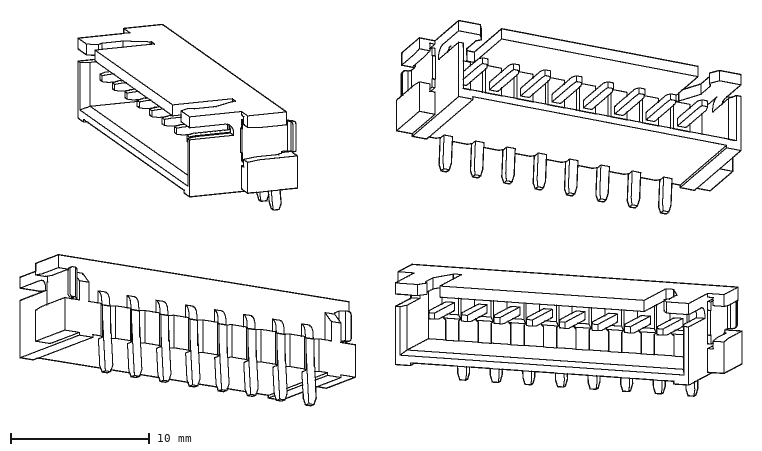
import cadquery as cq
import math


BODY_WIDTH = 22.5
EAR_WIDTH = 25.0
HEIGHT = 6.0
OVERALL_HEIGHT = 8.32
BODY_DEPTH = 7.85
ROOF_DEPTH = 7.0
ROOF_THICKNESS = 0.82
FOOT_HEIGHT = 0.2
FOOT_WIDTH = 1.15
LEDGE_TOP = 2.62

CAVITY_HALF_WIDTH = 10.6
CAVITY_FLOOR = 0.99
CAVITY_DEPTH = 5.2
LEAD_IN_SIDE = 0.28
LEAD_IN_RISE = 0.27
LEAD_IN_DEPTH = 0.7

WINDOW_DEPTH = 3.4
SIDE_WALL_TOP = 4.28
WINDOW_RADIUS = 0.72

SLOT_INNER_X = 7.83
SLOT_DEPTH = 4.6
SLOT_SHOULDER_X = 8.45
SLOT_SHOULDER_Y = 4.5
SLOT_WIDE_X = 9.35
SLOT_WIDE_START = 1.12
SLOT_WIDE_END = 2.75
SLOT_NECK_X = 9.08
SLOT_NECK_Y = 0.75
SLOT_MOUTH_X = 9.53

EAR_FRONT = 4.0
EAR_GAP_BOTTOM = LEDGE_TOP
EAR_GAP_TOP = 5.03
EAR_GAP_FLARE = 0.1
EAR_GAP_FLARE_DEPTH = 0.9

RAMP_WIDTH = 0.83
RAMP_TOP = 4.9
RAMP_BACK_TOP = 4.05

TAB_SLOT_OUTER_X = 11.66
TAB_SLOT_BACK = 6.75
TAB_SLOT_BOTTOM = 1.95
TAB_SLOT_TOP = 5.73
TAB_PLATE_OUTER_X = 11.5
TAB_PLATE_BOTTOM = 2.3
TAB_PLATE_TOP = 5.4
TAB_NOSE_BOTTOM = 2.95
TAB_NOSE_TOP = 4.77
TAB_NOSE_LENGTH = 0.07
TAB_FLANGE_OUTER_X = 12.1
TAB_FLANGE_BOTTOM = 2.78
TAB_FLANGE_TOP = 5.0
TAB_FLANGE_THICKNESS = 0.25
TAB_FLANGE_CORNER = 0.25
TAB_BEND = 0.35
TAB_BEND_INSET = 0.09

CONTACT_COUNT = 8
PITCH = 2.5
PIN_SIZE = 0.68
PIN_HEIGHT = 0.6
PIN_TOP = 3.89
PIN_TIP_Y = 0.83
PIN_TAPER_LENGTH = 0.47
PIN_TIP_SIZE = 0.45
LEG_BOTTOM = HEIGHT - OVERALL_HEIGHT
LEG_BACK = 7.9
LEG_TAPER_LENGTH = 0.5
LEG_LEAN = math.radians(5)
PIN_BEND_RADIUS = 0.9
GROOVE_DEPTH = 0.25
GROOVE_WIDTH = 1.25

SUPPORT_WIDTH = 1.29
SUPPORT_PROJECTION = 0.49
SUPPORT_BOTTOM = 3.0
RIB_WIDTH = 1.0
RIB_PROJECTION = 0.1

HALF_BODY = BODY_WIDTH / 2
HALF_EAR = EAR_WIDTH / 2
ROOF_BOTTOM = HEIGHT - ROOF_THICKNESS
CONTACT_XS = [(i - (CONTACT_COUNT - 1) / 2) * PITCH for i in range(CONTACT_COUNT)]


def box(x0, x1, y0, y1, z0, z1):
    return cq.Workplane("XY").box(x1 - x0, y1 - y0, z1 - z0, centered=False).translate((x0, y0, z0))


def side_profile(points, x0, x1):
    """Outline of (y, z) points spanning x0 to x1."""
    return cq.Workplane("YZ").polyline(points).close().extrude(x1 - x0).translate((x0, 0, 0))


def plan_profile(points, z0, z1):
    """Outline of (x, y) points spanning z0 to z1."""
    return cq.Workplane("XY").polyline(points).close().extrude(z1 - z0).translate((0, 0, z0))


def both_sides(shape):
    """The shape together with its mirror image across the middle of the part."""
    return shape.union(shape.mirror("YZ"))


def make_shell():
    """Solid body: full depth below the back ledge, shorter above it, with a foot at each end."""
    lower = box(-HALF_BODY, HALF_BODY, 0, BODY_DEPTH, FOOT_HEIGHT, LEDGE_TOP)
    upper = box(-HALF_BODY, HALF_BODY, 0, ROOF_DEPTH, LEDGE_TOP, HEIGHT)
    foot = box(HALF_BODY - FOOT_WIDTH, HALF_BODY, 0, BODY_DEPTH, 0, FOOT_HEIGHT)
    return lower.union(upper).union(both_sides(foot))


def make_ears():
    """Ears split by a flared gap, each pair with a blind slot that holds a solder tab."""
    ear = box(HALF_BODY, HALF_EAR, EAR_FRONT, BODY_DEPTH, FOOT_HEIGHT, EAR_GAP_BOTTOM)
    ear = ear.union(box(HALF_BODY, HALF_EAR, EAR_FRONT, ROOF_DEPTH, EAR_GAP_TOP, HEIGHT))
    flare_end = EAR_FRONT + EAR_GAP_FLARE_DEPTH
    flare = side_profile(
        [
            (EAR_FRONT, EAR_GAP_BOTTOM - EAR_GAP_FLARE),
            (flare_end, EAR_GAP_BOTTOM),
            (flare_end, EAR_GAP_TOP),
            (EAR_FRONT, EAR_GAP_TOP + EAR_GAP_FLARE),
        ],
        HALF_BODY,
        HALF_EAR,
    )
    slot = box(HALF_BODY, TAB_SLOT_OUTER_X, EAR_FRONT, TAB_SLOT_BACK, TAB_SLOT_BOTTOM, TAB_SLOT_TOP)
    return both_sides(ear.cut(flare).cut(slot))


def make_ramps():
    """Blocks with a sloped top standing on the back ledge at both ends."""
    ramp = side_profile(
        [
            (ROOF_DEPTH, LEDGE_TOP),
            (BODY_DEPTH, LEDGE_TOP),
            (BODY_DEPTH, RAMP_BACK_TOP),
            (ROOF_DEPTH, RAMP_TOP),
        ],
        HALF_BODY - RAMP_WIDTH,
        HALF_BODY,
    )
    return both_sides(ramp)


def make_cavity():
    """Opening for the mating plug, widening at the mouth on the floor and both sides."""
    cavity = box(-CAVITY_HALF_WIDTH, CAVITY_HALF_WIDTH, 0, CAVITY_DEPTH, CAVITY_FLOOR, ROOF_BOTTOM)
    mouth_half = CAVITY_HALF_WIDTH + LEAD_IN_SIDE
    mouth_bottom = CAVITY_FLOOR - LEAD_IN_RISE

    def opening(half_width, bottom):
        return [
            (-half_width, bottom),
            (half_width, bottom),
            (half_width, ROOF_BOTTOM),
            (-half_width, ROOF_BOTTOM),
        ]

    lead_in = (
        cq.Workplane("XZ")
        .polyline(opening(mouth_half, mouth_bottom))
        .close()
        .workplane(offset=-LEAD_IN_DEPTH)
        .polyline(opening(CAVITY_HALF_WIDTH, CAVITY_FLOOR))
        .close()
        .loft(ruled=True)
    )
    return cavity.union(lead_in)


def make_side_windows():
    """Gaps between the roof and the side walls, open at the front."""
    window = box(CAVITY_HALF_WIDTH, HALF_BODY, 0, WINDOW_DEPTH, SIDE_WALL_TOP, ROOF_BOTTOM)
    window = window.edges("|X and >Y and >Z").fillet(WINDOW_RADIUS)
    return both_sides(window)


def make_roof_slots():
    """Keying slots in the roof, with a narrow neck just behind the mouth."""
    slot = plan_profile(
        [
            (SLOT_INNER_X, 0),
            (SLOT_MOUTH_X, 0),
            (SLOT_NECK_X, SLOT_NECK_Y),
            (SLOT_WIDE_X, SLOT_WIDE_START),
            (SLOT_WIDE_X, SLOT_WIDE_END),
            (SLOT_SHOULDER_X, SLOT_SHOULDER_Y),
            (SLOT_SHOULDER_X, SLOT_DEPTH),
            (SLOT_INNER_X, SLOT_DEPTH),
        ],
        ROOF_BOTTOM,
        HEIGHT,
    )
    return both_sides(slot)


def make_leg_groove(x):
    """Groove down the back with sloped sides, around one contact leg."""
    return plan_profile(
        [
            (x - GROOVE_WIDTH / 2, BODY_DEPTH),
            (x - PIN_SIZE / 2, BODY_DEPTH - GROOVE_DEPTH),
            (x + PIN_SIZE / 2, BODY_DEPTH - GROOVE_DEPTH),
            (x + GROOVE_WIDTH / 2, BODY_DEPTH),
        ],
        0,
        LEDGE_TOP,
    )


def make_support(x):
    """Block around the pin, with a sloped underside running down onto a narrower rib below it."""
    front = CAVITY_DEPTH - SUPPORT_PROJECTION
    rib_front = CAVITY_DEPTH - RIB_PROJECTION
    slope_end = SUPPORT_BOTTOM - (rib_front - front)
    support = side_profile(
        [
            (CAVITY_DEPTH, slope_end),
            (rib_front, slope_end),
            (front, SUPPORT_BOTTOM),
            (front, ROOF_BOTTOM),
            (CAVITY_DEPTH, ROOF_BOTTOM),
        ],
        x - SUPPORT_WIDTH / 2,
        x + SUPPORT_WIDTH / 2,
    )
    half_support = SUPPORT_WIDTH / 2
    half_rib = RIB_WIDTH / 2
    neck = slope_end - (half_support - half_rib)
    rib = (
        cq.Workplane("XZ", origin=(x, CAVITY_DEPTH, 0))
        .moveTo(-half_support, slope_end)
        .lineTo(-half_rib, neck)
        .lineTo(-half_rib, CAVITY_FLOOR)
        .lineTo(half_rib, CAVITY_FLOOR)
        .lineTo(half_rib, neck)
        .lineTo(half_support, slope_end)
        .close()
        .extrude(RIB_PROJECTION)
    )
    return support.union(rib)


def make_contact(x):
    """Bent contact: a mating pin along Y and a leaning leg down to the board, both with tapered tips."""
    taper_top = LEG_BOTTOM + LEG_TAPER_LENGTH
    bar_bottom = PIN_TOP - PIN_HEIGHT
    taper_start = PIN_TIP_Y + PIN_TAPER_LENGTH

    def leg_back(z):
        return LEG_BACK - (z - taper_top) * math.tan(LEG_LEAN)

    bar_and_leg = side_profile(
        [
            (taper_start, bar_bottom),
            (leg_back(bar_bottom) - PIN_SIZE, bar_bottom),
            (LEG_BACK - PIN_SIZE, taper_top),
            (LEG_BACK, taper_top),
            (leg_back(PIN_TOP), PIN_TOP),
            (taper_start, PIN_TOP),
        ],
        x - PIN_SIZE / 2,
        x + PIN_SIZE / 2,
    )
    bar_and_leg = bar_and_leg.edges("|X").edges(">Z").edges(">Y").fillet(PIN_BEND_RADIUS)
    mating_tip = (
        cq.Workplane("XZ", origin=(x, taper_start, PIN_TOP - PIN_HEIGHT / 2))
        .rect(PIN_SIZE, PIN_HEIGHT)
        .workplane(offset=PIN_TAPER_LENGTH)
        .rect(PIN_TIP_SIZE, PIN_TIP_SIZE)
        .loft(ruled=True)
    )
    leg_tip = (
        cq.Workplane("XY", origin=(x, LEG_BACK - PIN_SIZE / 2, taper_top))
        .rect(PIN_SIZE, PIN_SIZE)
        .workplane(offset=-LEG_TAPER_LENGTH)
        .rect(PIN_TIP_SIZE, PIN_TIP_SIZE)
        .loft(ruled=True)
    )
    return bar_and_leg.union(mating_tip).union(leg_tip)


def make_solder_tabs():
    """Metal plates lying against the body sides, with a flange bent outward at the back."""
    plate_end = LEG_BACK - TAB_BEND
    plate = box(HALF_BODY, TAB_PLATE_OUTER_X, EAR_FRONT, ROOF_DEPTH, TAB_PLATE_BOTTOM, TAB_PLATE_TOP)
    nose = box(
        HALF_BODY,
        TAB_PLATE_OUTER_X,
        EAR_FRONT - TAB_NOSE_LENGTH,
        EAR_FRONT,
        TAB_NOSE_BOTTOM,
        TAB_NOSE_TOP,
    )
    flange_front = LEG_BACK - TAB_FLANGE_THICKNESS
    flange_inner_x = HALF_BODY + TAB_BEND
    flange = plan_profile(
        [
            (HALF_BODY, ROOF_DEPTH),
            (HALF_BODY, plate_end),
            (flange_inner_x, LEG_BACK),
            (TAB_FLANGE_OUTER_X, LEG_BACK),
            (TAB_FLANGE_OUTER_X, flange_front),
            (flange_inner_x + TAB_BEND_INSET, flange_front),
            (TAB_PLATE_OUTER_X, plate_end - TAB_BEND_INSET),
            (TAB_PLATE_OUTER_X, ROOF_DEPTH),
        ],
        TAB_FLANGE_BOTTOM,
        TAB_FLANGE_TOP,
    )
    flange = flange.edges("|Y and >X").fillet(TAB_FLANGE_CORNER)
    return both_sides(plate.union(nose).union(flange))


housing = make_shell().union(make_ears()).union(make_ramps())
housing = housing.cut(make_cavity()).cut(make_side_windows()).cut(make_roof_slots())
for contact_x in CONTACT_XS:
    housing = housing.cut(make_leg_groove(contact_x))
    housing = housing.union(make_support(contact_x))
    housing = housing.union(make_contact(contact_x))

result = housing.union(make_solder_tabs())